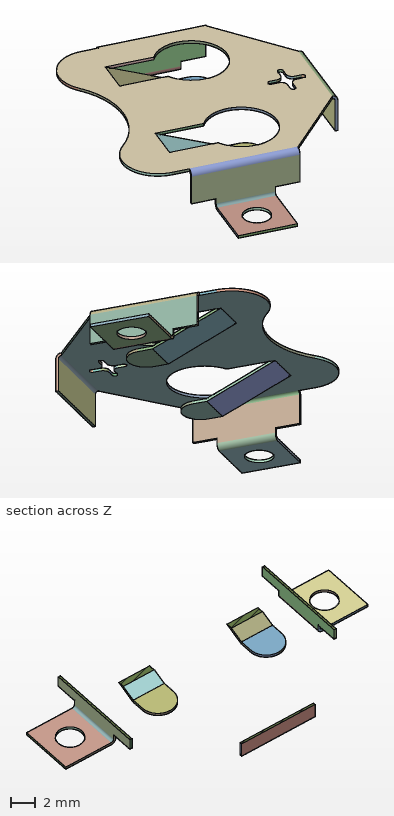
import cadquery as cq
import math

length = 30.75
height = 3.97
thickness = 0.25
inner_bend = 0.25
outer_bend = inner_bend + thickness

plate_half_width = 10.03
back_y = 10.58
front_y = -9.25
back_tab_width = 7.5
back_tab_depth = 3.32
lobe_radius = 3.08
recess_top_y = -6.45

flange_width = 9.35
flange_depth = 3.0
foot_width = 5.1
foot_hole_diameter = 2.37
foot_hole_x = 12.95

tongue_x = 5.5
tongue_width = 3.17
tongue_root_y = -5.23
tongue_bend_y = 0.75
tongue_tip_y = 3.5
tongue_depth = 2.77
opening_diameter = 6.12
opening_y = 1.57

cross_y = 7.63
cross_length = 3.23
cross_arm_width = 0.45
cross_fillet = 0.52

flange_x = plate_half_width + outer_bend
plate_back_y = back_y - outer_bend


def make_plate():
    lobe_x = plate_half_width - lobe_radius
    lobe_y = front_y + lobe_radius
    rise = lobe_y - recess_top_y
    recess_radius = (lobe_x**2 + rise**2 - lobe_radius**2) / (2 * (lobe_radius - rise))
    recess_y = recess_top_y - recess_radius
    share = lobe_radius / (lobe_radius + recess_radius)
    tangent_x = lobe_x * (1 - share)
    tangent_y = lobe_y + (recess_y - lobe_y) * share
    return (
        cq.Workplane("XY")
        .moveTo(-back_tab_width / 2, plate_back_y)
        .lineTo(back_tab_width / 2, plate_back_y)
        .lineTo(plate_half_width, flange_width / 2)
        .lineTo(plate_half_width, lobe_y)
        .threePointArc((lobe_x, front_y), (tangent_x, tangent_y))
        .threePointArc((0, recess_top_y), (-tangent_x, tangent_y))
        .threePointArc((-lobe_x, front_y), (-plate_half_width, lobe_y))
        .lineTo(-plate_half_width, flange_width / 2)
        .close()
        .extrude(-thickness)
    )


def top_bend(profile, start, outer):
    """Draw the outside of a bend from the plate edge at start down to the wall at outer."""
    corner = outer_bend * (1 - math.sqrt(0.5))
    return (
        profile.moveTo(start, -thickness)
        .lineTo(start, 0)
        .threePointArc((outer - corner, -corner), (outer, -outer_bend))
    )


def close_top_bend(profile, start):
    """Draw the inside of the bend back to the underside of the plate edge."""
    return profile.radiusArc((start, -thickness), -inner_bend).close()


def make_back_tab():
    profile = top_bend(cq.Workplane("YZ"), plate_back_y, back_y)
    profile = profile.lineTo(back_y, -back_tab_depth).lineTo(back_y - thickness, -back_tab_depth)
    profile = profile.lineTo(back_y - thickness, -outer_bend)
    return close_top_bend(profile, plate_back_y).extrude(back_tab_width / 2, both=True)


def make_right_side():
    wall_x = flange_x - thickness
    foot_top = thickness - height
    profile = top_bend(cq.Workplane("XZ"), plate_half_width, flange_x)
    profile = (
        profile.lineTo(flange_x, foot_top + inner_bend)
        .radiusArc((flange_x + inner_bend, foot_top), -inner_bend)
        .lineTo(length / 2, foot_top)
        .lineTo(length / 2, -height)
        .lineTo(flange_x + inner_bend, -height)
        .radiusArc((wall_x, foot_top + inner_bend), outer_bend)
        .lineTo(wall_x, -outer_bend)
    )
    section = close_top_bend(profile, plate_half_width)
    side = section.extrude(flange_width / 2, both=True)
    for direction in (-1, 1):
        trim_width = (flange_width - foot_width) / 2
        trim_y = direction * (flange_width + foot_width) / 4
        trim = cq.Workplane("XY", origin=(0, trim_y, -flange_depth)).rect(2 * length, trim_width)
        side = side.cut(trim.extrude(-height))
    hole = cq.Workplane("XY").center(foot_hole_x, 0).circle(foot_hole_diameter / 2)
    return side.cut(hole.extrude(-height))


def make_opening(x):
    slot_length = opening_y - tongue_root_y
    circle = cq.Workplane("XY").center(x, opening_y).circle(opening_diameter / 2).extrude(-thickness)
    slot = (
        cq.Workplane("XY")
        .center(x, opening_y - slot_length / 2)
        .rect(tongue_width, slot_length)
        .extrude(-thickness)
    )
    return circle.union(slot)


def make_tongue(x):
    tip_top = thickness - tongue_depth
    slope = math.atan2(-tip_top, tongue_bend_y - tongue_root_y)
    underside_bend_y = tongue_bend_y - thickness * math.tan(slope / 2)
    underside_root_y = underside_bend_y - (tongue_depth - thickness) / math.tan(slope)
    tongue = (
        cq.Workplane("YZ", origin=(x, 0, 0))
        .moveTo(tongue_root_y, 0)
        .lineTo(tongue_bend_y, tip_top)
        .lineTo(tongue_tip_y, tip_top)
        .lineTo(tongue_tip_y, -tongue_depth)
        .lineTo(underside_bend_y, -tongue_depth)
        .lineTo(underside_root_y, -thickness)
        .lineTo(tongue_root_y, -thickness)
        .close()
        .extrude(tongue_width / 2, both=True)
    )
    tip_corners = tongue.edges("|Z and >Y")
    return tip_corners.fillet(0.499 * tongue_width)


def make_cross():
    cross = cq.Workplane("XY").slot2D(cross_length, cross_arm_width).extrude(-thickness)
    cross = cross.union(cross.rotate((0, 0, 0), (0, 0, 1), 90))
    inner_reach = cross_arm_width
    inner_box = cq.selectors.BoxSelector(
        (-inner_reach, -inner_reach, -thickness), (inner_reach, inner_reach, thickness)
    )
    return cross.edges("|Z").edges(inner_box).fillet(cross_fillet).translate((0, cross_y, 0))


right_side = make_right_side()
result = make_plate().union(make_back_tab()).union(right_side).union(right_side.mirror("YZ"))
for x in (-tongue_x, tongue_x):
    result = result.cut(make_opening(x)).union(make_tongue(x))
result = result.cut(make_cross())